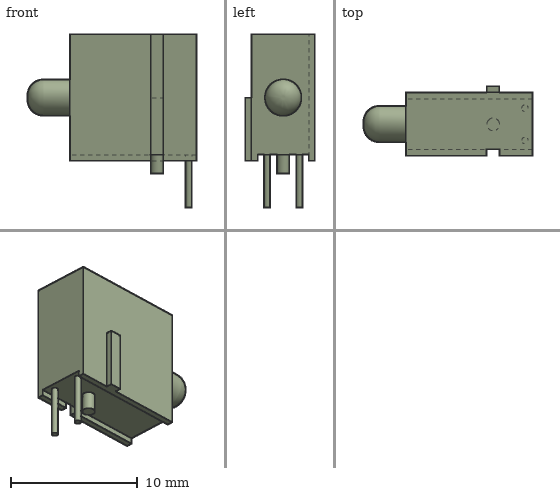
import cadquery as cq

total_height = 13.68
total_width = 5.5
housing_length = 10.0
housing_width = housing_length / 2
housing_height = housing_length

rib_width = 1.0
rib_height = housing_height / 2
rib_depth = total_width - housing_width
key_x = 6.87

wall = rib_depth

peg_diameter = 1.0
peg_protrusion = 1.0

led_diameter = 2.89
led_length = 3.35
led_nose_radius = 1.27

pin_diameter = 0.5
pin_pitch = 2.55
pin_x = 9.37
pin_length = total_height - housing_height + wall


def box_between(x_range, y_range, z_range):
    """Box spanning the given minimum and maximum on each axis."""
    sizes = [high - low for low, high in (x_range, y_range, z_range)]
    corner = (x_range[0], y_range[0], z_range[0])
    return cq.Workplane("XY").box(*sizes, centered=False).translate(corner)


def make_post(diameter, length, x, y):
    """Vertical cylinder hanging down from the housing underside."""
    return cq.Workplane("XY", origin=(x, y, wall)).circle(diameter / 2).extrude(-length)


def make_housing():
    """Block with bottom channel, side groove, side rib and locating peg."""
    half_width = housing_width / 2
    key_span = (key_x - rib_width / 2, key_x + rib_width / 2)
    full_length = (0, housing_length)
    full_height = (0, housing_height)

    block = box_between(full_length, (-half_width, half_width), full_height)
    channel = box_between(full_length, (wall - half_width, half_width - wall), (0, wall))
    groove = box_between(key_span, (-half_width, rib_depth - half_width), full_height)
    rib = box_between(key_span, (half_width, half_width + rib_depth), (0, rib_height))
    peg = make_post(peg_diameter, wall + peg_protrusion, key_x, 0)

    return block.cut(channel).cut(groove).union(rib).union(peg)


def make_led():
    """Round-nosed cylinder standing out of the front face, at mid-height."""
    return (
        cq.Workplane("YZ", origin=(0, 0, housing_height / 2))
        .circle(led_diameter / 2)
        .extrude(-led_length)
        .faces("<X")
        .edges()
        .fillet(led_nose_radius)
    )


housing = make_housing()
led = make_led()
pins = []
for side in (-1, 1):
    pins.append(make_post(pin_diameter, pin_length, pin_x, side * pin_pitch / 2))

result = cq.Compound.makeCompound([housing.val(), led.val(), *[pin.val() for pin in pins]])